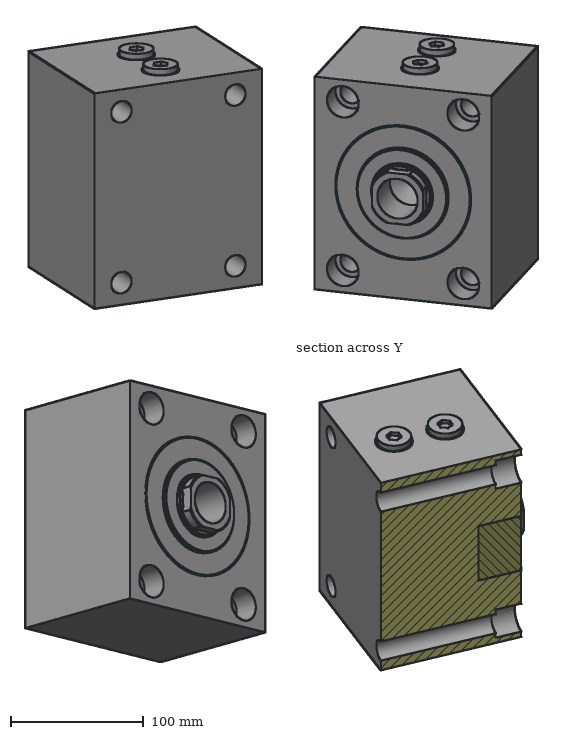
import cadquery as cq
import math

TOTAL_HEIGHT = 174.9
BLOCK_LENGTH = 115.0
BLOCK_WIDTH = 140.0
BLOCK_HEIGHT = 170.4
TOP_EDGE_CHAMFER = 0.3
BLOCK_TOP = BLOCK_HEIGHT / 2

BOLT_HALF_PITCH_Y = 47.5
BOLT_HALF_PITCH_Z = 67.5
BOLT_HOLE_DIAMETER = 17.0
BOLT_HEAD_DIAMETER = 25.0
BOLT_HEAD_DEPTH = 21.0

COVER_DIAMETER = 107.0
COVER_DEPTH = 35.0
COVER_EDGE_CHAMFER = 0.9
BOSS_DIAMETER = 72.0
BOSS_HEIGHT = 3.0
BOSS_CHAMFER = 1.0
WIPER_GAP_DIAMETER = 48.6
WIPER_GAP_DEPTH = 1.0

ROD_DIAMETER = 45.0
ROD_PROTRUSION = 14.0
TIP_DIAMETER = 44.5
TIP_CHAMFER = 0.7
FLAT_SPACING = 40.4
TIP_LENGTH = 9.0
NECK_LENGTH = 0.7
NECK_DIAMETER = 40.0
TAPPED_HOLE_DIAMETER = 31.8
TAPPED_HOLE_DEPTH = 31.5
DRILL_POINT_ANGLE = 118.0
ROD_LENGTH = ROD_PROTRUSION + COVER_DEPTH

PLUG_DIAMETER = 26.0
PLUG_PROTRUSION = TOTAL_HEIGHT - BLOCK_HEIGHT
SPOTFACE_DIAMETER = 28.3
SPOTFACE_DEPTH = 0.1
SOCKET_FLAT_SPACING = 10.0
SOCKET_DEPTH = 3.0
PLUG_POSITIONS_X = (42.2, 84.0)


def cylinder_along_x(diameter, start_x, length):
    """Cylinder on the rod axis, running in +X from start_x."""
    return cq.Workplane("YZ", origin=(start_x, 0, 0)).circle(diameter / 2).extrude(length)


def make_block():
    block = cq.Workplane("XY").box(
        BLOCK_LENGTH, BLOCK_WIDTH, BLOCK_HEIGHT, centered=(False, True, True)
    )
    block = block.edges("|X and >Z").chamfer(TOP_EDGE_CHAMFER)

    corners = [
        (side_y * BOLT_HALF_PITCH_Y, side_z * BOLT_HALF_PITCH_Z)
        for side_y in (-1, 1)
        for side_z in (-1, 1)
    ]
    front = cq.Workplane("YZ").pushPoints(corners)
    block = block.cut(front.circle(BOLT_HOLE_DIAMETER / 2).extrude(BLOCK_LENGTH))
    block = block.cut(front.circle(BOLT_HEAD_DIAMETER / 2).extrude(BOLT_HEAD_DEPTH))

    block = block.cut(cylinder_along_x(COVER_DIAMETER, 0, COVER_DEPTH))

    for x in PLUG_POSITIONS_X:
        spotface = (
            cq.Workplane("XY", origin=(x, 0, BLOCK_TOP))
            .circle(SPOTFACE_DIAMETER / 2)
            .extrude(-SPOTFACE_DEPTH)
        )
        block = block.cut(spotface)
    return block


def make_cover():
    disc = cylinder_along_x(COVER_DIAMETER, 0, COVER_DEPTH).faces("<X").chamfer(COVER_EDGE_CHAMFER)
    boss = cylinder_along_x(BOSS_DIAMETER, -BOSS_HEIGHT, BOSS_HEIGHT).faces("<X").chamfer(BOSS_CHAMFER)
    cover = disc.union(boss)
    cover = cover.cut(cylinder_along_x(ROD_DIAMETER, -BOSS_HEIGHT, BOSS_HEIGHT + COVER_DEPTH))
    return cover.cut(cylinder_along_x(WIPER_GAP_DIAMETER, -BOSS_HEIGHT, WIPER_GAP_DEPTH))


def make_rod():
    tip = cylinder_along_x(TIP_DIAMETER, -ROD_PROTRUSION, TIP_LENGTH)
    tip = tip.faces("<X").chamfer(TIP_CHAMFER)
    square = (
        cq.Workplane("YZ", origin=(-ROD_PROTRUSION, 0, 0))
        .rect(FLAT_SPACING, FLAT_SPACING)
        .extrude(TIP_LENGTH)
    )
    tip = tip.intersect(square)

    neck_start = TIP_LENGTH - ROD_PROTRUSION
    neck = cylinder_along_x(NECK_DIAMETER, neck_start, NECK_LENGTH)
    shank_length = ROD_LENGTH - TIP_LENGTH - NECK_LENGTH
    shank = cylinder_along_x(ROD_DIAMETER, neck_start + NECK_LENGTH, shank_length)
    rod = shank.union(neck).union(tip)

    hole_radius = TAPPED_HOLE_DIAMETER / 2
    point_length = hole_radius / math.tan(math.radians(DRILL_POINT_ANGLE / 2))
    hole_end = TAPPED_HOLE_DEPTH - ROD_PROTRUSION
    hole = (
        cq.Workplane("XY")
        .moveTo(-ROD_PROTRUSION, 0)
        .lineTo(-ROD_PROTRUSION, hole_radius)
        .lineTo(hole_end, hole_radius)
        .lineTo(hole_end + point_length, 0)
        .close()
        .revolve(360, (0, 0, 0), (1, 0, 0))
    )
    return rod.cut(hole)


def make_plug(x):
    seat = cq.Workplane("XY", origin=(x, 0, BLOCK_TOP - SPOTFACE_DEPTH))
    plug = seat.circle(PLUG_DIAMETER / 2).extrude(SPOTFACE_DEPTH + PLUG_PROTRUSION)

    socket = (
        cq.Workplane("XY", origin=(x, 0, BLOCK_TOP + PLUG_PROTRUSION))
        .polygon(6, SOCKET_FLAT_SPACING, circumscribed=True)
        .extrude(-SOCKET_DEPTH)
    )
    return plug.cut(socket)


block = make_block()
cover = make_cover()
rod = make_rod()
plugs = [make_plug(x) for x in PLUG_POSITIONS_X]

result = cq.Compound.makeCompound(
    [block.val(), cover.val(), rod.val(), *[plug.val() for plug in plugs]]
)